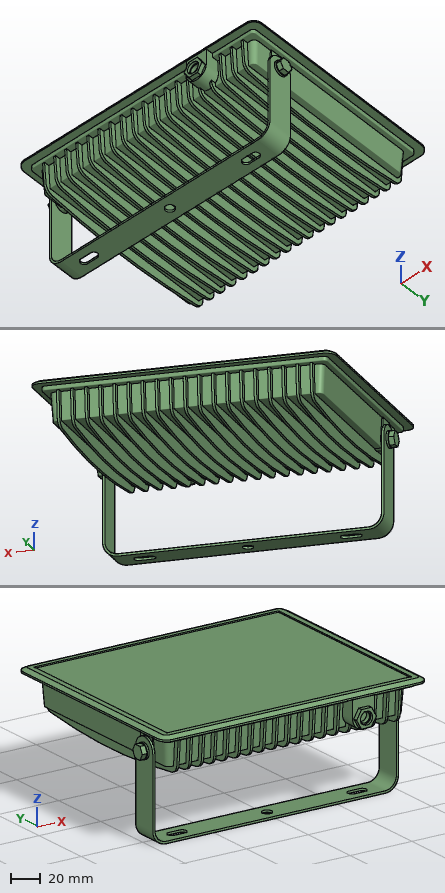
import cadquery as cq
import math

OVERALL_Y = 177.7

RIM_X = 215.0
RIM_Y = 174.4
RIM_THICKNESS = 3.4
RIM_CORNER_RADIUS = 7.5
RIM_BEVEL_WIDTH = 4.0
RIM_BEVEL_HEIGHT = 2.0
GLASS_X = 198.0
GLASS_Y = 158.0
GLASS_RECESS = 1.0

COLLAR_X = 202.0
COLLAR_Y = 162.0
COLLAR_BOTTOM = -6.6
COLLAR_CORNER_RADIUS = 3.0
COLLAR_EDGE_RADIUS = 0.6

HOUSING_X = 194.0
HOUSING_Y = 151.2
HOUSING_BOTTOM = -26.8
HOUSING_CORNER_RADIUS = 4.0
HOUSING_DRAFT = 3.5
HOUSING_EDGE_RADIUS = 0.4

FIN_COUNT = 19
FIN_PITCH = 9.96
FIN_THICKNESS = 1.8
FIN_TOP_HALF_LENGTH = 79.8
FIN_LOW_HALF_LENGTH = 77.8
FIN_SHOULDER = -31.0
FIN_BOTTOM = -36.5
FIN_CORNER_RADIUS = 7.5

BRACKET_SPAN = 199.2
BRACKET_THICKNESS = 1.8
BRACKET_WIDTH = 20.5
BRACKET_BOTTOM = -85.8
BRACKET_BEND_RADIUS = 11.0
PIVOT_Y = -52.7
PIVOT_Z = -20.4
MOUNT_HOLE_DIAMETER = 7.5
MOUNT_SLOT_LENGTH = 15.0
MOUNT_SLOT_WIDTH = 6.5
MOUNT_SLOT_X = 73.0
PIVOT_BOSS_WIDTH = 14.0
PIVOT_BOSS_EMBED = 7.0
WASHER_DIAMETER = 12.0
WASHER_THICKNESS = 1.4
BOLT_HEAD_FLATS = 10.0
BOLT_HEAD_END_X = 105.0

CABLE_X = 54.9
CABLE_Z = -17.3
CABLE_BLOCK_WIDTH = 17.8
CABLE_BLOCK_EMBED = 5.0
CABLE_BLOCK_SETBACK = 0.2
CABLE_BLOCK_FRONT = -RIM_Y / 2 + CABLE_BLOCK_SETBACK
GLAND_NUT_FRONT = RIM_Y / 2 - OVERALL_Y
GLAND_NUT_FLATS = 14.0
GLAND_HOLE_DIAMETER = 8.0
GLAND_HOLE_DEPTH = 6.0
GLAND_MOUTH_DIAMETER = 9.8
GLAND_MOUTH_DEPTH = 2.2


def hexagon_diameter(across_flats):
    """Corner-to-corner size of a hexagon with the given flat-to-flat size."""
    return across_flats / math.cos(math.radians(30))


def make_rim():
    """Bevelled frame with the flat glass sunk slightly below its top face."""
    rim = cq.Workplane("XY").rect(RIM_X, RIM_Y).extrude(-RIM_THICKNESS)
    rim = rim.edges("|Z").fillet(RIM_CORNER_RADIUS)
    rim = rim.faces(">Z").chamfer(RIM_BEVEL_HEIGHT, RIM_BEVEL_WIDTH)
    recess = cq.Workplane("XY").rect(GLASS_X, GLASS_Y).extrude(-GLASS_RECESS)
    return rim.cut(recess)


def make_collar():
    """Step between the rim and the housing."""
    collar = cq.Workplane("XY").workplane(offset=-RIM_THICKNESS).rect(COLLAR_X, COLLAR_Y)
    collar = collar.extrude(COLLAR_BOTTOM + RIM_THICKNESS)
    return collar.edges("|Z").fillet(COLLAR_CORNER_RADIUS).faces("<Z").edges().fillet(COLLAR_EDGE_RADIUS)


def make_housing():
    """Drafted box with rounded corners."""
    housing = cq.Workplane("XY").workplane(offset=COLLAR_BOTTOM).rect(HOUSING_X, HOUSING_Y)
    housing = housing.extrude(HOUSING_BOTTOM - COLLAR_BOTTOM, taper=HOUSING_DRAFT)
    housing = housing.edges("not (|X or |Y)").fillet(HOUSING_CORNER_RADIUS)
    return housing.faces("<Z").edges().fillet(HOUSING_EDGE_RADIUS)


def make_fins():
    """Row of thin plates, each spanning Y with rounded ends and a bowed lower edge."""
    profile = (
        cq.Workplane("YZ")
        .moveTo(-FIN_TOP_HALF_LENGTH, COLLAR_BOTTOM)
        .lineTo(FIN_TOP_HALF_LENGTH, COLLAR_BOTTOM)
        .lineTo(FIN_LOW_HALF_LENGTH, FIN_SHOULDER)
        .threePointArc((0, FIN_BOTTOM), (-FIN_LOW_HALF_LENGTH, FIN_SHOULDER))
        .close()
        .extrude(FIN_THICKNESS / 2, both=True)
    )
    fin = profile.edges("|X and (not >Z)").fillet(FIN_CORNER_RADIUS)
    first_x = -FIN_PITCH * (FIN_COUNT - 1) / 2
    return [fin.translate((first_x + i * FIN_PITCH, 0, 0)) for i in range(FIN_COUNT)]


def make_bracket():
    """U-shaped strap with round ends at the pivots and mounting holes in its base."""
    leg_top = PIVOT_Z + BRACKET_WIDTH / 2
    height = leg_top - BRACKET_BOTTOM
    inner_span = BRACKET_SPAN - 2 * BRACKET_THICKNESS
    outer = (
        cq.Workplane("XY")
        .box(BRACKET_SPAN, BRACKET_WIDTH, height, centered=(True, True, False))
        .edges("|Y and <Z")
        .fillet(BRACKET_BEND_RADIUS)
    )
    inner = (
        cq.Workplane("XY")
        .box(inner_span, BRACKET_WIDTH, height, centered=(True, True, False))
        .edges("|Y and <Z")
        .fillet(BRACKET_BEND_RADIUS - BRACKET_THICKNESS)
        .translate((0, 0, BRACKET_THICKNESS))
    )
    end_rounding = (
        cq.Workplane("YZ")
        .center(0, height - BRACKET_WIDTH / 2)
        .circle(BRACKET_WIDTH / 2)
        .extrude(BRACKET_SPAN / 2, both=True)
    )
    below_pivots = (
        cq.Workplane("XY").rect(BRACKET_SPAN, BRACKET_WIDTH).extrude(height - BRACKET_WIDTH / 2)
    )
    strap = outer.cut(inner).intersect(below_pivots.union(end_rounding))
    hole = cq.Workplane("XY").circle(MOUNT_HOLE_DIAMETER / 2).extrude(BRACKET_THICKNESS)
    slots = (
        cq.Workplane("XY")
        .pushPoints([(-MOUNT_SLOT_X, 0), (MOUNT_SLOT_X, 0)])
        .slot2D(MOUNT_SLOT_LENGTH, MOUNT_SLOT_WIDTH)
        .extrude(BRACKET_THICKNESS)
    )
    return strap.cut(hole).cut(slots).translate((0, PIVOT_Y, BRACKET_BOTTOM))


def make_pivot():
    """Boss, washer and hexagon bolt head on the +X side."""
    strap_outside = BRACKET_SPAN / 2
    boss_end = strap_outside - BRACKET_THICKNESS
    boss_start = HOUSING_X / 2 - PIVOT_BOSS_EMBED
    boss_length = boss_end - boss_start
    boss_block = (
        cq.Workplane("XY")
        .box(boss_length, PIVOT_BOSS_WIDTH, COLLAR_BOTTOM - PIVOT_Z, centered=(False, True, False))
        .translate((boss_start, PIVOT_Y, PIVOT_Z))
    )
    pivot_plane = cq.Workplane("YZ", origin=(boss_start, PIVOT_Y, PIVOT_Z))
    boss_end_round = pivot_plane.circle(PIVOT_BOSS_WIDTH / 2).extrude(boss_length)
    washer_plane = cq.Workplane("YZ", origin=(strap_outside, PIVOT_Y, PIVOT_Z))
    washer = washer_plane.circle(WASHER_DIAMETER / 2).extrude(WASHER_THICKNESS)
    head = washer_plane.polygon(6, hexagon_diameter(BOLT_HEAD_FLATS))
    head = head.extrude(BOLT_HEAD_END_X - strap_outside)
    return boss_block.union(boss_end_round).union(washer).union(head)


def make_cable_block():
    """Round-bottomed block reaching from the housing wall to the rim edge."""
    depth = -CABLE_BLOCK_FRONT - HOUSING_Y / 2 + CABLE_BLOCK_EMBED
    front = cq.Workplane("XZ", origin=(CABLE_X, CABLE_BLOCK_FRONT, CABLE_Z))
    half = CABLE_BLOCK_WIDTH / 2
    top = -RIM_THICKNESS - CABLE_Z
    return (
        front.moveTo(-half, top)
        .lineTo(-half, 0)
        .threePointArc((0, -half), (half, 0))
        .lineTo(half, top)
        .close()
        .extrude(-depth)
    )


def make_gland_nut():
    """Hexagon standing out from the cable entry block."""
    front = cq.Workplane("XZ", origin=(CABLE_X, CABLE_BLOCK_FRONT, CABLE_Z))
    return front.polygon(6, hexagon_diameter(GLAND_NUT_FLATS)).extrude(CABLE_BLOCK_FRONT - GLAND_NUT_FRONT)


def make_gland_hole():
    """Stepped blind bore: a wide mouth and a narrower hole behind it."""
    front = cq.Workplane("XZ", origin=(CABLE_X, GLAND_NUT_FRONT, CABLE_Z))
    bore = front.circle(GLAND_HOLE_DIAMETER / 2).extrude(-GLAND_HOLE_DEPTH)
    mouth = front.circle(GLAND_MOUTH_DIAMETER / 2).extrude(-GLAND_MOUTH_DEPTH)
    return bore.union(mouth)


result = make_rim().union(make_collar()).union(make_housing())
for fin in make_fins():
    result = result.union(fin)
pivot = make_pivot()
result = result.union(pivot).union(pivot.mirror("YZ")).union(make_bracket())
result = result.union(make_cable_block()).union(make_gland_nut()).cut(make_gland_hole())